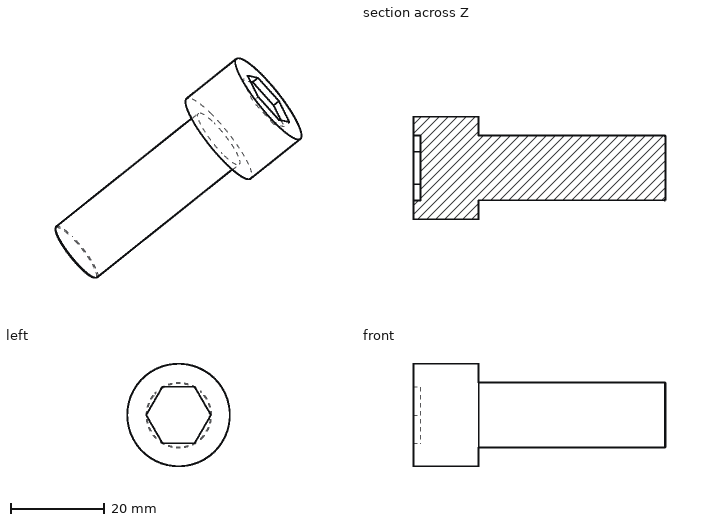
import cadquery as cq
import math

head_diameter = 22.0
head_length = 14.0
shank_diameter = 14.0
shank_length = 40.0
tip_chamfer = 0.2

socket_sides = 6
socket_across_flats = 12.0
socket_across_corners = socket_across_flats / math.cos(math.pi / socket_sides)
socket_depth = 1.5


def make_head():
    """Plain cylindrical head."""
    return cq.Workplane("YZ").circle(head_diameter / 2).extrude(head_length)


def make_shank():
    """Plain shank, starting at the underside of the head, with a chamfered tip."""
    shank = (
        cq.Workplane("YZ", origin=(head_length, 0, 0))
        .circle(shank_diameter / 2)
        .extrude(shank_length)
    )
    return shank.faces(">X").edges().chamfer(tip_chamfer)


def make_socket():
    """Hexagonal recess with two corners along Y, so two flats face Z."""
    return cq.Workplane("YZ").polygon(socket_sides, socket_across_corners).extrude(socket_depth)


result = make_head().union(make_shank()).cut(make_socket())